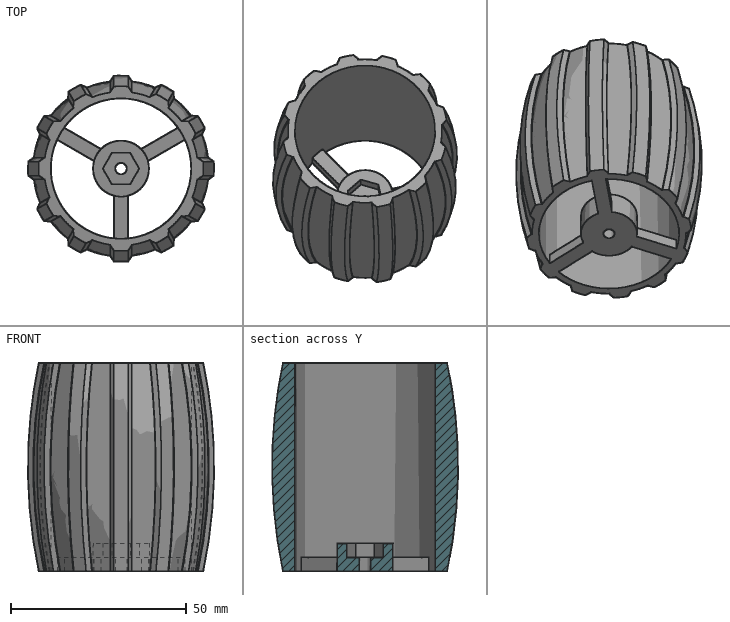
import cadquery as cq
import math

HEIGHT = 59.5
MID_RADIUS = 26.6
END_RADIUS = 23.48
BORE_DIAMETER = 40.0
GROOVE_DEPTH = 1.5

RIB_COUNT = 12
RIB_CREST_WIDTH = 3.9
RIB_BASE_WIDTH = 6.1
RIB_ROOT = 1.0
RIB_OVERSHOOT = 0.3
RIB_OVERRUN_ANGLE = 2.0

HUB_DIAMETER = 16.0
HUB_HEIGHT = 8.0
SPOKE_COUNT = 3
SPOKE_WIDTH = 4.0
SPOKE_HEIGHT = 4.0
SPOKE_OVERLAP = 0.5
FIRST_SPOKE_ANGLE = -90.0
HOLE_DIAMETER = 3.2
HEX_SIDES = 6
HEX_ACROSS_FLATS = 9.0
HEX_DEPTH = 4.0

HALF_HEIGHT = HEIGHT / 2
BULGE = MID_RADIUS - END_RADIUS
ARC_RADIUS = (HALF_HEIGHT**2 + BULGE**2) / (2 * BULGE)
ARC_CENTER = MID_RADIUS - ARC_RADIUS


def barrel(depth):
    """Solid barrel whose surface lies `depth` inside the rib crest arc."""
    arc_radius = ARC_RADIUS - depth
    end_radius = ARC_CENTER + math.sqrt(arc_radius**2 - HALF_HEIGHT**2)
    return (
        cq.Workplane("XZ")
        .lineTo(end_radius, 0)
        .threePointArc((MID_RADIUS - depth, HALF_HEIGHT), (end_radius, HEIGHT))
        .lineTo(0, HEIGHT)
        .close()
        .revolve(360, (0, 0), (0, 1))
    )


def rib():
    """Trapezoidal rib on the +X side, swept along the bulge arc past both ends."""
    flank_slope = (RIB_BASE_WIDTH - RIB_CREST_WIDTH) / 2 / GROOVE_DEPTH
    outer_half = RIB_CREST_WIDTH / 2 - flank_slope * RIB_OVERSHOOT
    base_half = RIB_BASE_WIDTH / 2
    floor = MID_RADIUS - GROOVE_DEPTH
    root = floor - RIB_ROOT
    top = MID_RADIUS + RIB_OVERSHOOT
    sweep_half_angle = math.degrees(math.asin(HALF_HEIGHT / ARC_RADIUS)) + RIB_OVERRUN_ANGLE
    section = (
        cq.Workplane("XY", origin=(0, 0, HALF_HEIGHT))
        .polyline([
            (root, -base_half),
            (floor, -base_half),
            (top, -outer_half),
            (top, outer_half),
            (floor, base_half),
            (root, base_half),
        ])
        .close()
        .revolve(2 * sweep_half_angle, (ARC_CENTER, 0), (ARC_CENTER, 1))
    )
    axis_start = (ARC_CENTER, 0, HALF_HEIGHT)
    axis_end = (ARC_CENTER, 1, HALF_HEIGHT)
    return section.rotate(axis_start, axis_end, -sweep_half_angle)


def ribbed_shell():
    crest = barrel(0)
    trimmed_rib = rib().intersect(crest)
    shell = barrel(GROOVE_DEPTH)
    for index in range(RIB_COUNT):
        angle = index * 360 / RIB_COUNT
        shell = shell.union(trimmed_rib.rotate((0, 0, 0), (0, 0, 1), angle))
    bore = cq.Workplane("XY").circle(BORE_DIAMETER / 2).extrude(HEIGHT)
    return shell.cut(bore)


def spokes():
    length = BORE_DIAMETER / 2 + SPOKE_OVERLAP
    spoke = cq.Workplane("XY").box(length, SPOKE_WIDTH, SPOKE_HEIGHT, centered=(False, True, False))
    group = cq.Workplane("XY")
    for index in range(SPOKE_COUNT):
        angle = FIRST_SPOKE_ANGLE + index * 360 / SPOKE_COUNT
        group = group.add(spoke.rotate((0, 0, 0), (0, 0, 1), angle))
    return group.combine()


def hub():
    return cq.Workplane("XY").circle(HUB_DIAMETER / 2).extrude(HUB_HEIGHT)


def fastener_seat():
    """Through hole with a hexagonal nut pocket sunk into the top of the hub."""
    hole = cq.Workplane("XY").circle(HOLE_DIAMETER / 2).extrude(HUB_HEIGHT)
    across_corners = HEX_ACROSS_FLATS / math.cos(math.pi / HEX_SIDES)
    pocket = (
        cq.Workplane("XY", origin=(0, 0, HUB_HEIGHT - HEX_DEPTH))
        .polygon(HEX_SIDES, across_corners)
        .extrude(HEX_DEPTH)
    )
    return hole.union(pocket)


result = ribbed_shell().union(spokes()).union(hub()).cut(fastener_seat())